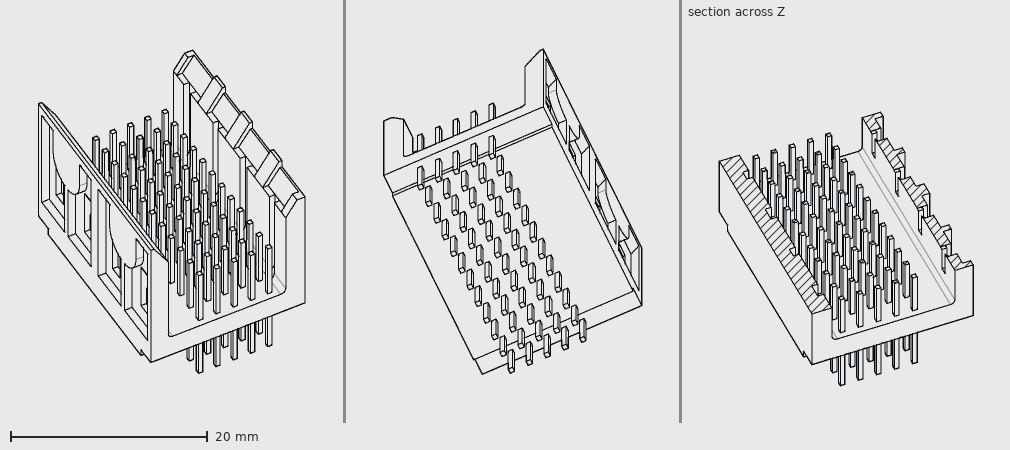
import cadquery as cq

length = 23.88
width = 17.86
wall_top = 17.05
floor_top = 3.45
front_wall = 2.05
rear_wall = 2.25
front_lip = 0.38
rear_lip = 0.35
front_bevel_base = 14.38
rear_bevel_base = 14.2
front_fillet = 0.48
rear_fillet = 0.57

step_height = 0.84
foot_length = 19.68

pin_columns = 12
pin_rows = 5
pin_span = 22.0
pin_pitch = pin_span / (pin_columns - 1)
pin_size = 0.5
pin_bottom = -4.2
pin_top = 9.9
first_row_y = 6.15

bay_pitch = 3 * pin_pitch
bay_count = 4
bay_centers = [(bay - (bay_count - 1) / 2) * bay_pitch for bay in range(bay_count)]
wide_panel, narrow_panel = 4.47, 3.95
wide_groove, narrow_groove = 1.48, 1.0
panel_widths = [wide_panel, narrow_panel] * (bay_count // 2)
groove_widths = [wide_groove, narrow_groove] * (bay_count // 2)

panel_top = 16.17
panel_lip = 0.25
wall_behind_groove = 1.6
groove_fillet = 1.0

pair_centers = [-bay_pitch, bay_pitch]
pair_width = 10.45
web_width = 0.72
pocket_depth = 0.88
pocket_top = 15.98
pocket_bevel = 1.34
tongue_radius = 2.8
tongue_center_z = 12.95

window_width = 1.53
window_bottom = 5.37
window_top = 10.91
window_bevel_height = 0.29
window_bevel_depth = 0.2
sill_top = 8.12
sill_setback = 0.62
sill_gap = 0.75
sill_bevel = 0.65


def box(x_min, x_max, y_min, y_max, z_min, z_max):
    size = (x_max - x_min, y_max - y_min, z_max - z_min)
    return cq.Workplane("XY").box(*size, centered=False).translate((x_min, y_min, z_min))


def prism(points, x_min, x_max):
    """Extrude a closed (Y, Z) outline along X."""
    outline = cq.Workplane("YZ").polyline(points).close()
    return outline.extrude(x_max - x_min).translate((x_min, 0, 0))


def housing():
    rear_inside = width - rear_wall
    body = prism(
        [
            (0, 0),
            (width, 0),
            (width, wall_top),
            (width - rear_lip, wall_top),
            (rear_inside, rear_bevel_base),
            (rear_inside, floor_top),
            (front_wall, floor_top),
            (front_wall, front_bevel_base),
            (front_lip, wall_top),
            (0, wall_top),
        ],
        -length / 2,
        length / 2,
    )
    for y, radius in ((front_wall, front_fillet), (rear_inside, rear_fillet)):
        corner = cq.selectors.NearestToPointSelector((0, y, floor_top))
        body = body.edges(corner).fillet(radius)
    for side in (-1, 1):
        outer, inner = side * length / 2, side * foot_length / 2
        body = body.cut(box(min(outer, inner), max(outer, inner), 0, width, 0, step_height))
    return body


def rear_panel(center, panel_width):
    """Sloped recess in the bevelled top of the rear wall, ending on a flat ledge."""
    return prism(
        [
            (width, panel_top),
            (width - panel_lip, panel_top),
            (width - wall_behind_groove, rear_bevel_base),
            (width - rear_wall, rear_bevel_base),
            (width - rear_wall, wall_top),
            (width, wall_top),
        ],
        center - panel_width / 2,
        center + panel_width / 2,
    )


def rear_groove(center, groove_width):
    """Vertical groove in the rear wall, running out onto the floor through a round."""
    back = width - wall_behind_groove
    front = width - rear_wall - rear_fillet
    groove = box(center - groove_width / 2, center + groove_width / 2, front, back, floor_top, wall_top)
    return groove.edges(">Y and <Z").fillet(groove_fillet)


def front_pocket(center, side):
    """Pocket with a sloped top on one side of a tongue."""
    inner = center + side * web_width / 2
    outer = center + side * pair_width / 2
    pocket = prism(
        [
            (0, floor_top),
            (pocket_depth, floor_top),
            (pocket_depth, pocket_top - pocket_bevel),
            (0, pocket_top),
        ],
        min(inner, outer),
        max(inner, outer),
    )
    tongue_disc = (
        cq.Workplane("XZ").center(center, tongue_center_z).circle(tongue_radius).extrude(-front_wall)
    )
    tongue_stem = box(
        center - tongue_radius, center + tongue_radius, 0, front_wall, tongue_center_z, wall_top
    )
    return pocket.cut(tongue_disc).cut(tongue_stem)


def window(center):
    """Window through the front wall, with a low split sill whose left half has a sloped top."""
    left, right = center - window_width / 2, center + window_width / 2
    sill_front = pocket_depth + sill_setback
    lintel = window_top - window_bevel_height
    opening = prism(
        [
            (pocket_depth, window_bottom),
            (front_wall, window_bottom),
            (front_wall, lintel),
            (pocket_depth + window_bevel_depth, lintel),
            (pocket_depth, window_top),
        ],
        left,
        right,
    )
    right_sill = box(center + sill_gap / 2, right, sill_front, front_wall, window_bottom, sill_top)
    left_sill = prism(
        [
            (sill_front, window_bottom),
            (front_wall, window_bottom),
            (front_wall, sill_top),
            (sill_front, sill_top - sill_bevel),
        ],
        left,
        center - sill_gap / 2,
    )
    return opening.cut(right_sill).cut(left_sill)


def pins():
    points = [
        ((column - (pin_columns - 1) / 2) * pin_pitch, first_row_y + row * pin_pitch)
        for column in range(pin_columns)
        for row in range(pin_rows)
    ]
    base = cq.Workplane("XY").workplane(offset=pin_bottom)
    return base.pushPoints(points).rect(pin_size, pin_size).extrude(pin_top - pin_bottom)


result = housing()

left_end = bay_centers[0] - panel_widths[0] / 2
right_end = bay_centers[-1] + panel_widths[-1] / 2
for x_min, x_max in ((-length / 2, left_end), (right_end, length / 2)):
    result = result.cut(box(x_min, x_max, width - rear_wall, width, panel_top, wall_top))

for center, panel_width, groove_width in zip(bay_centers, panel_widths, groove_widths):
    result = result.cut(rear_panel(center, panel_width))
    result = result.cut(rear_groove(center, groove_width))

for center in pair_centers:
    for side in (-1, 1):
        result = result.cut(front_pocket(center, side))

for center in bay_centers:
    result = result.cut(window(center))

result = result.union(pins())